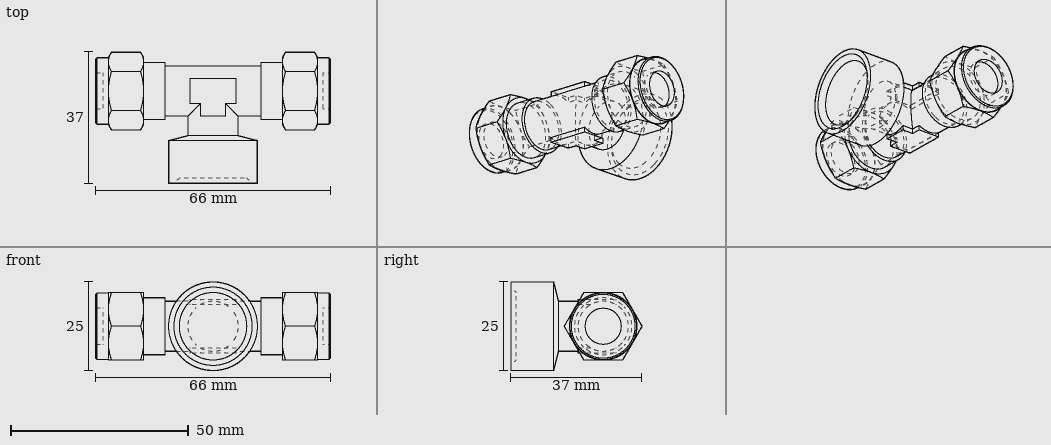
import cadquery as cq
import math

overall_length = 66.0
half_length = overall_length / 2
pipe_radius = 7.05
collar_radius = 8.05
collar_start = 13.45
nut_start = 19.55
nut_end = 29.45
nut_sides = 6
nut_across_flats = 19.0
nut_chamfer_angle = 30.0
ring_radius = 9.4
ring_chamfer = 0.4
tube_hole_radius = 5.1
tube_hole_depth = 2.0

branch_length = 26.0
shoulder_start = 12.55
shoulder_end = 13.9
socket_diameter = 25.0
socket_radius = socket_diameter / 2
socket_mouth_radius = 11.0
socket_floor_radius = 9.5
socket_depth = socket_mouth_radius - socket_floor_radius

flat_half_length = 6.5
flat_height = 7.5
flat_half_width = pipe_radius / 2


def run_cylinder(radius, start, end):
    """Cylinder along +X between two X positions."""
    return cq.Workplane("YZ").workplane(offset=start).circle(radius).extrude(end - start)


def make_nut():
    """Hexagonal nut with corners on +Y and -Y, its corners chamfered at both ends."""
    flat_radius = nut_across_flats / 2
    corner_radius = flat_radius / math.cos(math.pi / nut_sides)
    chamfer_length = (corner_radius - flat_radius) * math.tan(math.radians(nut_chamfer_angle))
    hexagon = (
        cq.Workplane("YZ")
        .workplane(offset=nut_start)
        .polygon(nut_sides, 2 * corner_radius)
        .extrude(nut_end - nut_start)
    )
    chamfer_envelope = (
        cq.Workplane("XY")
        .moveTo(nut_start, 0)
        .lineTo(nut_start, flat_radius)
        .lineTo(nut_start + chamfer_length, corner_radius)
        .lineTo(nut_end - chamfer_length, corner_radius)
        .lineTo(nut_end, flat_radius)
        .lineTo(nut_end, 0)
        .close()
        .revolve(360, (0, 0, 0), (1, 0, 0))
    )
    return hexagon.intersect(chamfer_envelope)


def make_run_end():
    """Collar, nut and end ring on the +X side, with the tube hole."""
    collar = run_cylinder(collar_radius, collar_start, nut_start)
    ring = run_cylinder(ring_radius, nut_end, half_length).faces(">X").edges().chamfer(ring_chamfer)
    tube_hole = run_cylinder(tube_hole_radius, half_length - tube_hole_depth, half_length)
    return collar.union(make_nut()).union(ring).cut(tube_hole)


def make_branch():
    """Branch pipe, conical shoulder and socket with a tapered recess."""
    return (
        cq.Workplane("XY")
        .moveTo(0, 0)
        .lineTo(pipe_radius, 0)
        .lineTo(pipe_radius, -shoulder_start)
        .lineTo(socket_radius, -shoulder_end)
        .lineTo(socket_radius, -branch_length)
        .lineTo(socket_mouth_radius, -branch_length)
        .lineTo(socket_floor_radius, -branch_length + socket_depth)
        .lineTo(0, -branch_length + socket_depth)
        .close()
        .revolve(360, (0, 0, 0), (0, 1, 0))
    )


def make_flats():
    """T-shaped block whose top and bottom form the flats."""
    bar = cq.Workplane("XY").box(2 * flat_half_length, 2 * flat_half_width, 2 * flat_height)
    stem = (
        cq.Workplane("XY")
        .box(2 * flat_half_width, pipe_radius, 2 * flat_height)
        .translate((0, -pipe_radius / 2, 0))
    )
    return bar.union(stem)


right_end = make_run_end()
left_end = right_end.mirror("YZ")
pipe = run_cylinder(pipe_radius, -collar_start, collar_start)

result = pipe.union(make_branch()).union(make_flats()).union(right_end).union(left_end)